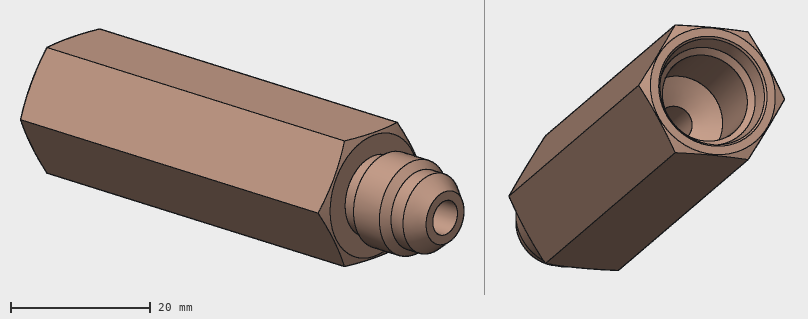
import cadquery as cq
import math

total_length = 73.65
hex_length = 59.75
across_flats = 19.1
across_corners = across_flats / math.cos(math.pi / 6)

relief_inlet_radius = 9.4
relief_inlet_depth = 0.5
relief_outlet_radius = 9.2
relief_outlet_depth = 0.65

neck_overlap = 0.7
neck_radius = 12.15 / 2
collar_radius = 14.3 / 2
collar_start = 61.8
collar_lead_in = 0.6
collar_end = 68.65
nose_radius = 11.9 / 2
collar_chamfer = collar_radius - nose_radius
flare_angle = 37.0
flare_length = 2.65
tip_radius = nose_radius - flare_length * math.tan(math.radians(flare_angle))

mouth_radius = 8.2
mouth_chamfer = 0.3
seat_radius = mouth_radius - mouth_chamfer
seat_end_radius = 7.3
seat_depth = 2.7
bore_radius = 6.4
bore_depth = 14.7
drill_point_angle = 118.0
passage_radius = 2.6


def revolve_about_x(profile):
    """Turn a closed (x, radius) outline around the X axis."""
    return cq.Workplane("XY").polyline(profile).close().revolve(360, (0, 0, 0), (1, 0, 0))


def hexagon_body():
    """Hexagonal bar with flats facing +Z and -Z and relieved corners."""
    bar = cq.Workplane("YZ").polygon(6, across_corners).extrude(hex_length)
    corner_radius = across_corners / 2
    envelope = revolve_about_x([
        (0, 0),
        (0, relief_inlet_radius),
        (relief_inlet_depth, corner_radius),
        (hex_length - relief_outlet_depth, corner_radius),
        (hex_length, relief_outlet_radius),
        (hex_length, 0),
    ])
    return bar.intersect(envelope)


def male_fitting():
    """Neck, chamfered collar and flared nose."""
    return revolve_about_x([
        (hex_length - neck_overlap, 0),
        (hex_length - neck_overlap, neck_radius),
        (collar_start, neck_radius),
        (collar_start + collar_lead_in, collar_radius),
        (collar_end - collar_chamfer, collar_radius),
        (collar_end, nose_radius),
        (total_length - flare_length, nose_radius),
        (total_length, tip_radius),
        (total_length, 0),
    ])


def port_and_passage():
    """Tapered seal seat, bore with drill point, and the passage through the part."""
    step_end = seat_depth + seat_end_radius - bore_radius
    point_length = (bore_radius - passage_radius) / math.tan(math.radians(drill_point_angle / 2))
    return revolve_about_x([
        (0, 0),
        (0, mouth_radius),
        (mouth_chamfer, seat_radius),
        (seat_depth, seat_end_radius),
        (step_end, bore_radius),
        (bore_depth, bore_radius),
        (bore_depth + point_length, passage_radius),
        (total_length, passage_radius),
        (total_length, 0),
    ])


result = hexagon_body().union(male_fitting()).cut(port_and_passage())